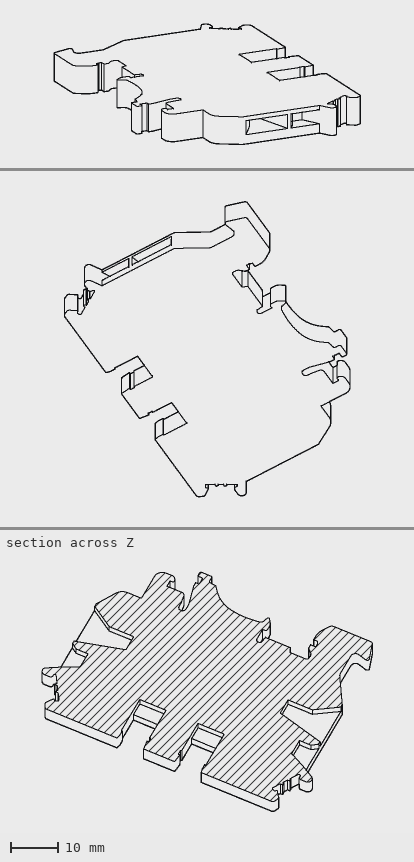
import cadquery as cq
import math


length = 63.6
height = 45.9
thickness = 6.2

half_body = 29.05
side_bottom = 17.1
side_top = 35.1
ear_tip = length / 2
ear_top = 38.2
ear_slope = math.radians(30)

slot_outer = 9.9
slot_inner = 3.8
slot_floor = 35.0
lip = 0.25
post_lean = 0.1
lip_bottom = 43.75
lip_top = 45.0
undercut_bottom = 42.75
shelf_top_y = 38.05

entry_floor = 2.1
entry_roof = 5.2

flank_top = (25.1, 42.85)
flank_bottom = (half_body, 36.5)
tooth_size = 0.6
tooth_root = 0.3
tooth_tops = (41.1, 39.55)

foot_neck = -25.2
rail_stop = 6.35
rail_x = -16.2
rail_wall = -17.4
seat_y = 8.9
seat_recess_y = 10.05
clip_hook_x = -6.4
clip_slit_x = -5.5
slit_top = 10.6
tongue_slit_x = 11.45
tongue_left = 10.05
tongue_right = 13.0
groove_x = 11.75
tongue_shoulder = 12.6
latch_left = 16.7
latch_step_x = 17.55
latch_top = 6.4
latch_right = 21.1
latch_bottom = 3.5
latch_shoulder_y = 11.6


def rounded_outline(corners):
    """Closed wire through (x, y, radius) corners; a zero radius stays sharp."""
    path = None
    for i, (x, y, radius) in enumerate(corners):
        corner = cq.Vector(x, y)
        to_previous = (cq.Vector(*corners[i - 1][:2]) - corner).normalized()
        to_next = (cq.Vector(*corners[(i + 1) % len(corners)][:2]) - corner).normalized()
        half_angle = to_previous.getAngle(to_next) / 2
        setback = radius / math.tan(half_angle)
        start = corner + to_previous * setback
        if path is None:
            path = cq.Workplane("XY").moveTo(start.x, start.y)
        else:
            path = path.lineTo(start.x, start.y)
        if radius > 0:
            bisector = (to_previous + to_next).normalized()
            middle = corner + bisector * (radius / math.sin(half_angle) - radius)
            end = corner + to_next * setback
            path = path.threePointArc((middle.x, middle.y), (end.x, end.y))
    return path.close()


def upper_half():
    """Corners of the right upper half, from the body side up to the centre post."""
    ear_under = side_top + (ear_tip - half_body) * math.tan(ear_slope)
    return [
        (half_body, side_top, 0),
        (ear_tip, ear_under, 0.75),
        (ear_tip, ear_top, 1.0),
        (half_body, ear_top, 0.6),
        (*flank_bottom, 0.25),
        (*flank_top, 0.3),
        (25.95, 43.2, 0.25),
        (26.3, 42.7, 0.1),
        (27.6, 44.45, 0.6),
        (26.95, height, 0.8),
        (slot_outer, height, 0.1),
        (slot_outer - lip, lip_top, 0),
        (slot_outer - lip, lip_bottom, 0),
        (slot_outer, lip_bottom, 0),
        (slot_outer, slot_floor, 0),
        (slot_inner, slot_floor, 0),
        (slot_inner, undercut_bottom, 0),
        (slot_inner - lip, undercut_bottom, 0),
        (slot_inner - lip, lip_bottom, 0),
        (slot_inner + post_lean, lip_bottom, 0),
        (slot_inner - post_lean, height, 0.1),
    ]


def foot():
    """Corners of the lower edge, from the left body side to the right one."""
    return [
        (-half_body, side_bottom, 0.65),
        (foot_neck, 10.5, 1.1),
        (foot_neck, 3.8, 1.1),
        (-28.5, 4.8, 0.6),
        (-29.2, 4.65, 0.45),
        (-27.8, 0, 0.65),
        (-18.05, 0, 0.95),
        (rail_x, 2.8, 3.8),
        (rail_x, 5.0, 0.25),
        (-17.2, 5.0, 0),
        (rail_wall, 5.7, 0),
        (rail_wall, rail_stop, 0),
        (rail_x, rail_stop, 0),
        (rail_x, 7.4, 0.4),
        (rail_wall, 8.6, 0.9),
        (rail_wall, seat_recess_y, 0.5),
        (-13.2, seat_recess_y, 0),
        (-12.8, seat_y, 0),
        (-6.8, seat_y, 0),
        (-6.6, slit_top, 0.5),
        (clip_slit_x, slit_top, 0.5),
        (clip_slit_x, 7.45, 0),
        (clip_hook_x, 7.45, 0.5),
        (clip_hook_x, 5.55, 1.9),
        (-5.15, 3.7, 0.3),
        (-4.6, 5.85, 0.95),
        (-0.05, 6.4, 17.2),
        (5.65, 5.3, 7.95),
        (8.3, 1.8, 0.3),
        (tongue_left, 1.5, 0.3),
        (tongue_left, 0, 0.3),
        (tongue_right, 0, 0.4),
        (tongue_right, 1.35, 0.4),
        (groove_x, 1.35, 0),
        (groove_x, 2.9, 0),
        (tongue_shoulder, 2.9, 0),
        (tongue_shoulder, 3.95, 0),
        (tongue_slit_x, 8.6, 0),
        (tongue_slit_x, slit_top, 0.7),
        (tongue_right, slit_top, 0.7),
        (tongue_right, 8.95, 0),
        (13.35, latch_top, 0.8),
        (latch_step_x, latch_top, 0),
        (latch_step_x, 5.0, 0),
        (latch_left, 5.0, 0.3),
        (latch_left, latch_bottom, 1.15),
        (latch_right, latch_bottom, 1.9),
        (latch_right, latch_shoulder_y, 0),
        (25.8, latch_shoulder_y, 2.55),
        (half_body, side_bottom, 0.65),
    ]


def mirrored(solid):
    return solid.union(solid.mirror("YZ"))


def plate():
    right = upper_half()
    left = [(-x, y, radius) for x, y, radius in reversed(right)]
    return rounded_outline(foot() + right + left).extrude(thickness)


def teeth():
    """Two small teeth standing on the right flank."""
    run = (flank_bottom[0] - flank_top[0]) / (flank_top[1] - flank_bottom[1])
    both_teeth = cq.Workplane("XY")
    for top in tooth_tops:
        flank_x = flank_top[0] + (flank_top[1] - top) * run
        width = tooth_size + tooth_root
        tooth = (
            cq.Workplane("XY")
            .box(width, tooth_size, thickness, centered=False)
            .translate((flank_x - tooth_root, top - tooth_size, 0))
        )
        both_teeth = both_teeth.add(tooth)
    return both_teeth.combine()


def slot_shelf():
    """Thin shelf at the back of the right slot."""
    return (
        cq.Workplane("XY")
        .box(slot_outer - slot_inner, shelf_top_y - slot_floor, entry_floor, centered=False)
        .translate((slot_inner, slot_floor, 0))
    )


def wire_entry(mouth, bore, upper_depth, lower_depth):
    """Funnel in the right body side; mouth and bore are (upper, lower) Y limits."""
    return (
        cq.Workplane("XY")
        .workplane(offset=entry_floor)
        .polyline([
            (half_body, mouth[0]),
            (half_body - upper_depth, bore[0]),
            (half_body - upper_depth, bore[1]),
            (half_body - lower_depth, bore[1]),
            (half_body, mouth[1]),
        ])
        .close()
        .extrude(entry_roof - entry_floor)
    )


upper_entry = wire_entry((side_top, 28.4), (33.0, 29.4), 4.1, 1.35)
lower_entry = wire_entry((27.65, 17.9), (24.8, 21.2), 10.8, 5.1)

result = (
    plate()
    .union(mirrored(teeth()))
    .union(mirrored(slot_shelf()))
    .cut(mirrored(upper_entry))
    .cut(mirrored(lower_entry))
)